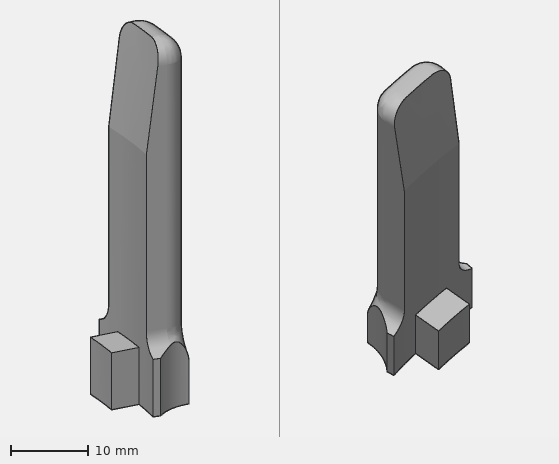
import cadquery as cq
import math

front_radius = 72.0
plate_thickness = 6.0
back_radius = front_radius + plate_thickness
tilt_angle = 5.0

total_height = 51.0
blade_half_angle = 4.23
bevel_start_height = 35.9
bevel_depth = 2.0
edge_radius = 3.0

flange_height = 8.0
flange_half_angle = 6.055
neck_half_width = 5.82
scoop_radius = 6.8
scoop_center_y = 77.35
blank_half_angle = 8.0

tab_width = 6.0
tab_depth = 4.0
tab_radius = front_radius - tab_depth

trim_margin = 1.0


def polar(radius, angle):
    """Point at a radius from the Z axis and an angle clockwise from +Y."""
    return radius * math.sin(math.radians(angle)), radius * math.cos(math.radians(angle))


def ring_sector(height, half_angle):
    """Sector of the curved plate standing on the XY plane, centred on +Y, with radial ends."""
    return (
        cq.Workplane("XY")
        .moveTo(*polar(front_radius, -half_angle))
        .threePointArc((0, front_radius), polar(front_radius, half_angle))
        .lineTo(*polar(back_radius, half_angle))
        .threePointArc((0, back_radius), polar(back_radius, -half_angle))
        .close()
        .extrude(height)
    )


def radial_edges(plate, half_angle, height):
    """The two straight edges that run through the thickness at a given height."""
    middle_radius = front_radius + plate_thickness / 2
    x, y = polar(middle_radius, half_angle)
    left = cq.selectors.NearestToPointSelector((-x, y, height))
    right = cq.selectors.NearestToPointSelector((x, y, height))
    return plate.edges(left + right)


def make_rounded_plate():
    """Blade on a wide base, with rounded outline corners and a rounded back edge."""
    blade = ring_sector(total_height, blade_half_angle)
    plate = blade.union(ring_sector(flange_height, blank_half_angle))
    for height in (flange_height, total_height):
        plate = radial_edges(plate, blade_half_angle, height).fillet(edge_radius)
    back_face = plate.faces(cq.selectors.NearestToPointSelector((0, back_radius, total_height / 2)))
    back_outline = back_face.edges(
        cq.selectors.BoxSelector(
            (-back_radius, 0, flange_height - trim_margin),
            (back_radius, back_radius + trim_margin, total_height + trim_margin),
        )
    )
    return back_outline.fillet(edge_radius)


def make_footprint():
    """Prism that trims the base: radial flange ends and scooped sides narrowing to the back."""
    far_y = back_radius + trim_margin
    scoop_center_x = neck_half_width + scoop_radius

    toward_end_x, toward_end_y = polar(1, flange_half_angle)
    along = scoop_center_x * toward_end_x + scoop_center_y * toward_end_y
    across = scoop_center_x * toward_end_y - scoop_center_y * toward_end_x
    flange_back_radius = along - math.sqrt(scoop_radius**2 - across**2)
    flange_back_x, flange_back_y = polar(flange_back_radius, flange_half_angle)

    scoop_angle = math.asin((scoop_center_y - flange_back_y) / scoop_radius)
    scoop_middle_x = scoop_center_x - scoop_radius * math.cos(scoop_angle / 2)
    scoop_middle_y = scoop_center_y - scoop_radius * math.sin(scoop_angle / 2)
    return (
        cq.Workplane("XY")
        .lineTo(flange_back_x, flange_back_y)
        .threePointArc((scoop_middle_x, scoop_middle_y), (neck_half_width, scoop_center_y))
        .lineTo(neck_half_width, far_y)
        .lineTo(-neck_half_width, far_y)
        .lineTo(-neck_half_width, scoop_center_y)
        .threePointArc((-scoop_middle_x, scoop_middle_y), (-flange_back_x, flange_back_y))
        .close()
        .extrude(total_height)
    )


def make_bevel_cutter():
    """Disc with a conical rim that thins the blade from the front toward its tip."""
    return (
        cq.Workplane("XZ")
        .moveTo(0, bevel_start_height)
        .lineTo(front_radius, bevel_start_height)
        .lineTo(front_radius + bevel_depth, total_height)
        .lineTo(0, total_height)
        .close()
        .revolve(360, (0, 0), (0, 1))
    )


def make_tab():
    """Block on the front of the base, with a front face concentric with the plate."""
    middle_radius = front_radius + plate_thickness / 2
    block = (
        cq.Workplane("XY")
        .center(0, middle_radius / 2)
        .rect(tab_width, middle_radius)
        .extrude(flange_height)
    )
    return block.cut(cq.Workplane("XY").circle(tab_radius).extrude(flange_height))


plate = make_rounded_plate().intersect(make_footprint()).cut(make_bevel_cutter())
result = plate.union(make_tab()).rotate((0, 0, 0), (0, 0, 1), -tilt_angle)